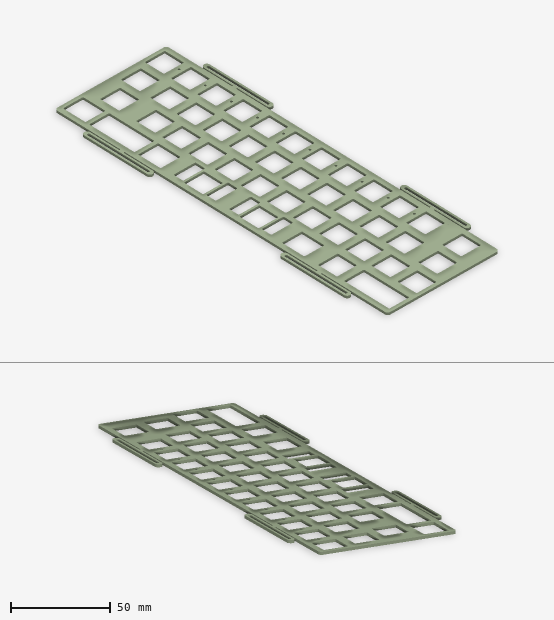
import cadquery as cq

plate_width = 242.5
overall_depth = 87.8
thickness = 1.6
corner_radius = 2.0

key_rows = 4
grid_width_in_keys = 12.75
grid_width = 242.8
pitch = grid_width / grid_width_in_keys
row_margin = 1.0
plate_depth = key_rows * pitch + 2 * row_margin

switch_web = 5.0
switch_size = pitch - switch_web
opening_corner_radius = 0.5

stabilizer_width = 7.0
stabilizer_height = 15.3
stabilizer_spacing = 23.8
stabilizer_rise = 1.5

pin_hole_diameter = 1.5
pin_hole_count = 10
pin_hole_rise = 1.2

rail_length = 49.7
rail_width = 4.1
rail_spacing = 143.9
rail_slot_length = 45.1
rail_slot_width = 1.7
bridge_width = 3.0
bridge_overlap = 0.5
rail_center_y = (overall_depth - rail_width) / 2

top_row = [(0.5 + i, 0.5 + i) for i in range(11)] + [(11.875, 11.875)]
second_row = [(0.625, 0.625)] + [(1.75 + i, 1.75 + i) for i in range(10)] + [(12.0, 12.0)]
third_row = [(0.875, 0.875)] + [(2.25 + i, 2.25 + i) for i in range(11)]
stabilized_keys = [5.125, 7.25]
bottom_row = [(0.5, 0.625), (1.5, 2.5), (3.375, 3.5), (8.875, 9.0), (10.25, 10.25), (11.25, 12.25)]
bottom_row += [(key, key) for key in stabilized_keys]


def key_x(position):
    """X of a place counted in key pitches from the left end of the grid."""
    return position * pitch - grid_width / 2


def row_y(row):
    """Y of the key centers in a row, row 0 being the one at +Y."""
    return ((key_rows - 1) / 2 - row) * pitch


def block(width, depth, x, y):
    """A block of the plate's thickness, centered at x, y."""
    return cq.Workplane("XY").box(width, depth, thickness).translate((x, y, 0))


def opening_block(width, depth, x, y):
    """A block with rounded vertical corners, for cutting a rectangular opening."""
    return block(width, depth, x, y).edges("|Z").fillet(opening_corner_radius)


def slot_block(length, width, x, y):
    """A round-ended bar of the plate's thickness along X, centered at x, y."""
    return cq.Workplane("XY").center(x, y).slot2D(length, width).extrude(thickness / 2, both=True)


def base_plate():
    plate = block(plate_width, plate_depth, 0, 0)
    return plate.edges("|Z").fillet(corner_radius)


def switch_openings():
    openings = []
    for row, keys in enumerate([top_row, second_row, third_row, bottom_row]):
        for first, last in keys:
            width = switch_size + (last - first) * pitch
            x = key_x((first + last) / 2)
            openings.append(opening_block(width, switch_size, x, row_y(row)))
    return openings


def stabilizer_slots():
    y = row_y(key_rows - 1) + stabilizer_rise
    slots = []
    for key in stabilized_keys:
        for side in (-1, 1):
            x = key_x(key) + side * stabilizer_spacing / 2
            slots.append(opening_block(stabilizer_width, stabilizer_height, x, y))
    return slots


def pin_holes():
    centers = [(key_x(i + 1), row_y(0) + pin_hole_rise) for i in range(pin_hole_count)]
    holes = cq.Workplane("XY").pushPoints(centers).circle(pin_hole_diameter / 2)
    return holes.extrude(thickness / 2, both=True)


def rail(x, side):
    """A rail on the +Y (side 1) or -Y (side -1) edge, with its bridge to the plate."""
    y = side * rail_center_y
    bridge_length = rail_center_y - plate_depth / 2
    bridge_y = side * (plate_depth / 2 + bridge_length / 2)
    body = slot_block(rail_length, rail_width, x, y)
    body = body.union(block(bridge_width, bridge_length + 2 * bridge_overlap, x, bridge_y))
    return body.cut(slot_block(rail_slot_length, rail_slot_width, x, y))


result = base_plate()
for rail_x in (-rail_spacing / 2, rail_spacing / 2):
    for edge in (-1, 1):
        result = result.union(rail(rail_x, edge))

for opening in switch_openings() + stabilizer_slots():
    result = result.cut(opening)

result = result.cut(pin_holes())